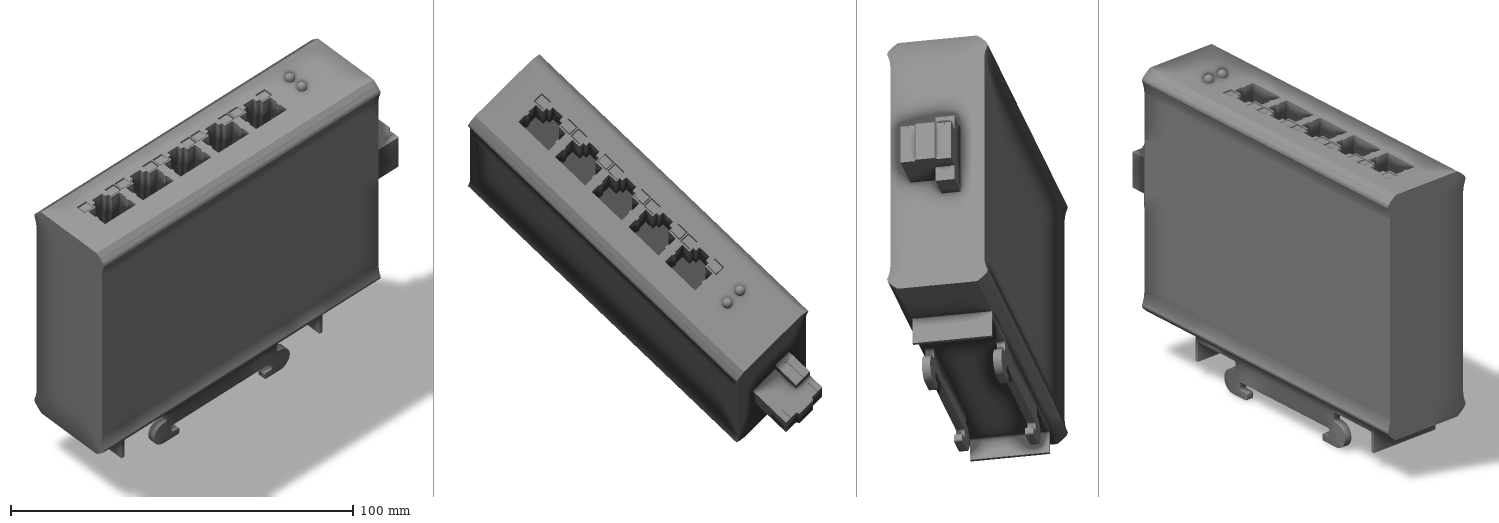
import cadquery as cq

TOTAL_LENGTH = 124.5
BODY_LENGTH = 110.0
BODY_HEIGHT = 80.0
BODY_WIDTH = 30.0
FLAT_WIDTH = 23.8
WAIST_WIDTH = 28.1

CHAMFER_DEPTH = 1.2
CHAMFER_RUN = 1.6
SHOULDER_DEPTH = 2.0
SHOULDER_INSET = 0.7
RIDGE_END_DEPTH = 3.5
UNDERCUT_DEPTH = 4.5
UNDERCUT_INSET = 0.4
WAIST_DEPTH = 7.5
HOLLOW_SAG = 0.04
UNDER_HOLLOW_SAG = 0.1

LAMP_RADIUS = 1.5
LAMP_RIM = 0.5
LAMP_X = -4.7
LAMP_PITCH = 5.2
LAMP_FROM_BACK = 17.9

SOCKET_COUNT = 5
SOCKET_ROW_LENGTH = 75.1
SOCKET_WIDTH = 13.6
SOCKET_LEFT = -7.0
SOCKETS_FROM_BACK = 26.0
SOCKET_DEPTH = 15.0
SOCKET_FLOOR = 1.2
LATCH_LEFT, LATCH_LENGTH = 1.1, 4.1
KEY_LEFT, KEY_LENGTH = 2.6, 6.5
MOUTH_LEFT, MOUTH_LENGTH = 4.1, 12.3
MOUTH_RIGHT = 11.3
RIB_LEFT, RIB_WIDTH, RIB_HEIGHT = 7.1, 1.2, 0.4
LIGHT_LEFT = 0.7
LIGHT_WIDTH = 2.6
LIGHT_LENGTH = 3.4
LIGHT_INNER = 3.6
LIGHT_GAP = 0.4
LIGHT_GAP_DEPTH = 1.2
LIGHT_RECESS = 0.2

PLUG_WIDTH = 15.1
PLUG_LEFT = -7.0
PLUG_HEIGHT = 11.7
FLANGE_WIDTH = 5.7
FLANGE_HEIGHT = 20.7
FLANGE_LENGTH = 8.5
BOSS_WIDTH = 6.5
BOSS_LENGTH = 0.9
BOSS_TAPER = 0.4
SLIT_WIDTH = 0.1
SLIT_LENGTH = 3.7
SLIT_DEPTH = 0.6
SLIT_INSET = 2.0
TEE_FROM_LEFT = 2.6
TEE_LENGTH = 7.1
TEE_BAR = 1.9

CLIP_CENTRE_Y = -5.2
CLIP_LENGTH = 79.9
CLIP_PLATE = 1.4
CLIP_LEG_LENGTH = 8.0
CLIP_LEG_THICKNESS = 1.1
CLIP_LEG_FILLET = 0.6
HOOK_THICKNESS = 2.5
HOOK_HEIGHT = 12.5
HOOK_HALF_LENGTH = 27.0
NECK_HALF_LENGTH = 21.9
NECK_BOTTOM = 4.5
NECK_FILLET = 0.7
RAIL_HALF_LENGTH = 20.0
RAIL_TOP, RAIL_BOTTOM = 7.5, 10.1
RAIL_FILLET = 0.7
HOOK_TIP_HALF_LENGTH = 16.9
HOOK_TIP_FILLET = 0.6

BACK_Y = BODY_LENGTH / 2
PLUG_LENGTH = TOTAL_LENGTH - BODY_LENGTH
SHELL_LENGTH = PLUG_LENGTH - BOSS_LENGTH
MID_Z = BODY_HEIGHT / 2
SOCKET_PITCH = SOCKET_ROW_LENGTH / SOCKET_COUNT


def box(x0, x1, y0, y1, z0, z1):
    """Box between the given limits."""
    return cq.Workplane("XY").box(x1 - x0, y1 - y0, z1 - z0, centered=False).translate((x0, y0, z0))


def make_body():
    """Extruded housing, built as one quarter of the section and mirrored."""
    half = BODY_WIDTH / 2
    flat = FLAT_WIDTH / 2
    waist = WAIST_WIDTH / 2
    chamfer_end = (flat + CHAMFER_RUN, MID_Z - CHAMFER_DEPTH)
    shoulder = (half - SHOULDER_INSET, MID_Z - SHOULDER_DEPTH)
    hollow = ((chamfer_end[0] + shoulder[0]) / 2, (chamfer_end[1] + shoulder[1]) / 2 - HOLLOW_SAG)
    nose_drop = RIDGE_END_DEPTH - SHOULDER_DEPTH
    nose_radius = (SHOULDER_INSET ** 2 + nose_drop ** 2) / (2 * SHOULDER_INSET)
    undercut = (half - UNDERCUT_INSET, MID_Z - UNDERCUT_DEPTH)
    waist_start = (waist, MID_Z - WAIST_DEPTH)
    under_hollow = ((undercut[0] + waist) / 2 - UNDER_HOLLOW_SAG, (undercut[1] + waist_start[1]) / 2)
    quarter = (
        cq.Workplane("XZ")
        .moveTo(0, 0)
        .lineTo(0, MID_Z)
        .lineTo(flat, MID_Z)
        .lineTo(*chamfer_end)
        .threePointArc(hollow, shoulder)
        .radiusArc((half, MID_Z - RIDGE_END_DEPTH), nose_radius)
        .lineTo(*undercut)
        .threePointArc(under_hollow, waist_start)
        .lineTo(waist, 0)
        .close()
        .extrude(BODY_LENGTH / 2, both=True)
    )
    side = quarter.union(quarter.mirror("XY"))
    return side.union(side.mirror("YZ")).clean().translate((0, 0, MID_Z))


def make_lamp(x):
    """Round indicator lamp with a short rim and a domed top."""
    return (
        cq.Workplane("XZ")
        .lineTo(LAMP_RADIUS, 0)
        .lineTo(LAMP_RADIUS, LAMP_RIM)
        .radiusArc((0, LAMP_RIM + LAMP_RADIUS), -LAMP_RADIUS)
        .close()
        .revolve(360, (0, 0), (0, 1))
        .translate((x, BACK_Y - LAMP_FROM_BACK, BODY_HEIGHT))
    )


def socket_box(left, right, length, depth):
    """Box sunk from the socket face, centred on the socket along Y."""
    return box(left, right, -length / 2, length / 2, -depth, 0)


def make_socket():
    """Socket block with its top face at Z = 0 and its left edge at X = 0."""
    block = socket_box(0, SOCKET_WIDTH, SOCKET_PITCH, SOCKET_DEPTH + SOCKET_FLOOR)
    opening = socket_box(LATCH_LEFT, MOUTH_RIGHT, LATCH_LENGTH, SOCKET_DEPTH)
    opening = opening.union(socket_box(KEY_LEFT, MOUTH_RIGHT, KEY_LENGTH, SOCKET_DEPTH))
    opening = opening.union(socket_box(MOUTH_LEFT, MOUTH_RIGHT, MOUTH_LENGTH, SOCKET_DEPTH))
    for side in (-1, 1):
        rib_y = side * (MOUTH_LENGTH - RIB_HEIGHT) / 2
        rib = socket_box(RIB_LEFT, RIB_LEFT + RIB_WIDTH, RIB_HEIGHT, SOCKET_DEPTH)
        opening = opening.cut(rib.translate((0, rib_y, 0)))
    socket = block.cut(opening)

    light_right = LIGHT_LEFT + LIGHT_WIDTH
    light_outer = LIGHT_INNER + LIGHT_LENGTH
    light = box(LIGHT_LEFT, light_right, LIGHT_INNER, light_outer, -LIGHT_GAP_DEPTH, -LIGHT_RECESS)
    gap = box(LIGHT_LEFT - LIGHT_GAP, light_right + LIGHT_GAP, LIGHT_INNER, light_outer + LIGHT_GAP,
              -LIGHT_GAP_DEPTH, 0).cut(light)
    return socket.cut(gap).cut(gap.mirror("XZ"))


def add_sockets(body):
    """Set the row of sockets, flush with the top face, into a window of the housing."""
    row_end = BACK_Y - SOCKETS_FROM_BACK
    row_start = row_end - SOCKET_ROW_LENGTH
    window = box(SOCKET_LEFT, SOCKET_LEFT + SOCKET_WIDTH, row_start, row_end,
                 BODY_HEIGHT - SOCKET_DEPTH - SOCKET_FLOOR, BODY_HEIGHT)
    body = body.cut(window)
    socket = make_socket()
    for index in range(SOCKET_COUNT):
        y = row_start + (index + 0.5) * SOCKET_PITCH
        body = body.union(socket.translate((SOCKET_LEFT, y, BODY_HEIGHT)), clean=False)
    return body


def make_plug():
    """Power plug on the back face: shell, tapered boss and a tall flange on the left."""
    shell_end = BACK_Y + SHELL_LENGTH
    plug_right = PLUG_LEFT + PLUG_WIDTH
    plug_middle = PLUG_LEFT + PLUG_WIDTH / 2
    shell_bottom = MID_Z - PLUG_HEIGHT / 2
    shell_top = MID_Z + PLUG_HEIGHT / 2
    flange_top = MID_Z + FLANGE_HEIGHT / 2
    flange_end = BACK_Y + FLANGE_LENGTH

    shell = box(PLUG_LEFT, plug_right, BACK_Y, shell_end, shell_bottom, shell_top)
    flange = box(PLUG_LEFT, PLUG_LEFT + FLANGE_WIDTH, BACK_Y, flange_end,
                 MID_Z - FLANGE_HEIGHT / 2, flange_top)
    boss_half = BOSS_WIDTH / 2
    tip_half = boss_half - BOSS_TAPER
    boss = (
        cq.Workplane("XY")
        .polyline([(-boss_half, 0), (boss_half, 0), (tip_half, BOSS_LENGTH), (-tip_half, BOSS_LENGTH)])
        .close()
        .extrude(PLUG_HEIGHT)
        .translate((plug_middle, shell_end, shell_bottom))
    )
    plug = shell.union(flange).union(boss)

    for x in (PLUG_LEFT + SLIT_INSET, plug_right - SLIT_INSET):
        plug = plug.cut(box(x - SLIT_WIDTH / 2, x + SLIT_WIDTH / 2, shell_end - SLIT_LENGTH, shell_end,
                            shell_top - SLIT_DEPTH, shell_top))

    tee_x = PLUG_LEFT + TEE_FROM_LEFT
    tee_start = flange_end - TEE_LENGTH
    stem = box(tee_x - SLIT_WIDTH / 2, tee_x + SLIT_WIDTH / 2, tee_start, flange_end,
               flange_top - SLIT_DEPTH, flange_top)
    bar = box(tee_x - TEE_BAR / 2, tee_x + TEE_BAR / 2, tee_start, tee_start + SLIT_WIDTH,
              flange_top - SLIT_DEPTH, flange_top)
    return plug.cut(stem).cut(bar)


def make_hook_plate():
    """Plate with a rounded hook at both ends, from X = 0 to its thickness."""
    curl_radius = (HOOK_HEIGHT - NECK_BOTTOM) / 2
    curl_y = HOOK_HALF_LENGTH - curl_radius
    half = (
        cq.Workplane("YZ")
        .lineTo(NECK_HALF_LENGTH + NECK_FILLET, 0)
        .lineTo(NECK_HALF_LENGTH + NECK_FILLET, -CLIP_PLATE)
        .radiusArc((NECK_HALF_LENGTH, -CLIP_PLATE - NECK_FILLET), -NECK_FILLET)
        .lineTo(NECK_HALF_LENGTH, NECK_FILLET - NECK_BOTTOM)
        .radiusArc((NECK_HALF_LENGTH + NECK_FILLET, -NECK_BOTTOM), -NECK_FILLET)
        .lineTo(curl_y, -NECK_BOTTOM)
        .threePointArc((HOOK_HALF_LENGTH, -NECK_BOTTOM - curl_radius), (curl_y, -HOOK_HEIGHT))
        .lineTo(HOOK_TIP_HALF_LENGTH + HOOK_TIP_FILLET, -HOOK_HEIGHT)
        .radiusArc((HOOK_TIP_HALF_LENGTH, HOOK_TIP_FILLET - HOOK_HEIGHT), HOOK_TIP_FILLET)
        .lineTo(HOOK_TIP_HALF_LENGTH, -RAIL_BOTTOM - HOOK_TIP_FILLET)
        .radiusArc((HOOK_TIP_HALF_LENGTH + HOOK_TIP_FILLET, -RAIL_BOTTOM), HOOK_TIP_FILLET)
        .lineTo(RAIL_HALF_LENGTH - RAIL_FILLET, -RAIL_BOTTOM)
        .radiusArc((RAIL_HALF_LENGTH, RAIL_FILLET - RAIL_BOTTOM), -RAIL_FILLET)
        .lineTo(RAIL_HALF_LENGTH, -RAIL_TOP - RAIL_FILLET)
        .radiusArc((RAIL_HALF_LENGTH - RAIL_FILLET, -RAIL_TOP), -RAIL_FILLET)
        .lineTo(0, -RAIL_TOP)
        .close()
        .extrude(HOOK_THICKNESS)
    )
    return half.union(half.mirror("XZ"))


def make_clip():
    """Rail clip under the housing: plate with two end legs, and a pair of hook plates."""
    half_width = FLAT_WIDTH / 2
    half_length = CLIP_LENGTH / 2
    bracket = box(-half_width, half_width, -half_length, half_length, -CLIP_LEG_LENGTH, 0)
    leg_gap = half_length - CLIP_LEG_THICKNESS
    hollow = box(-half_width, half_width, -leg_gap, leg_gap, -CLIP_LEG_LENGTH, -CLIP_PLATE)
    bracket = bracket.cut(hollow.edges("|X and >Z").fillet(CLIP_LEG_FILLET))

    hook = make_hook_plate().translate((-half_width, 0, 0))
    clip = bracket.union(hook).union(hook.mirror("YZ"))
    return clip.translate((0, CLIP_CENTRE_Y, 0))


result = make_body()
result = add_sockets(result)
for lamp_x in (LAMP_X, LAMP_X + LAMP_PITCH):
    result = result.union(make_lamp(lamp_x), clean=False)
result = result.union(make_plug(), clean=False)
result = result.union(make_clip(), clean=False)